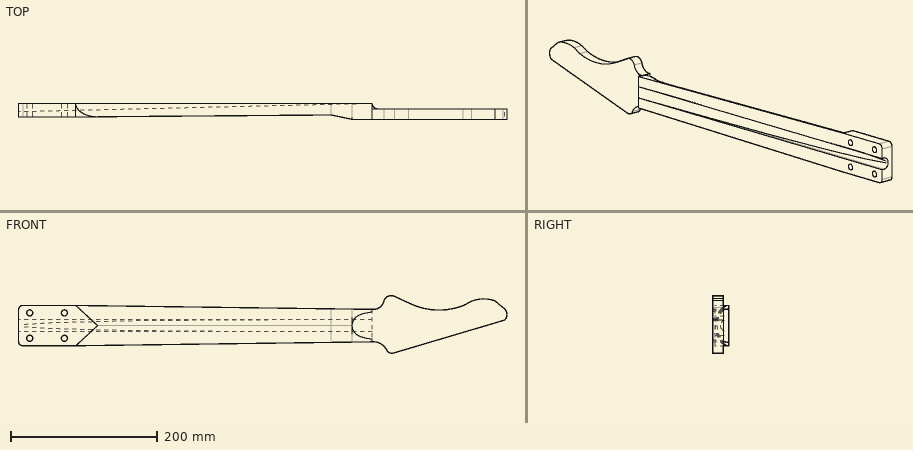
import cadquery as cq

total_length = 669.0
total_depth = 22.0

heel_width = 55.5
heel_depth = 19.0
heel_side_length = 78.0
heel_tip_x = 108.5
heel_corner_radius = 6.0
hole_diameter = 8.0
hole_columns = (15.5, 63.0)
hole_spacing = 35.0

nut_x = 484.5
nut_width = 45.0
shaft_end_x = 428.0
shaft_end_depth = 16.0
flat_tip_x = 457.0
throat_depth = 40.0

headstock_thickness = 15.0
step_radius = total_depth - headstock_thickness

channel_width = 16.0
channel_depth = 11.5


def neck_width(x):
    """Straight taper from the heel to the nut."""
    return heel_width + (nut_width - heel_width) * (x - heel_side_length) / (nut_x - heel_side_length)


def half_ellipse(x, width, depth):
    """Closed half ellipse across the neck, bulging towards -Y."""
    wire = (
        cq.Workplane("YZ", origin=(x, 0, 0))
        .moveTo(0, -width / 2)
        .lineTo(0, width / 2)
        .ellipseArc(depth, width / 2, 90, 180, startAtCurrent=True)
        .ellipseArc(depth, width / 2, 180, 270, startAtCurrent=True)
        .close()
    )
    return wire.val()


def half_round_loft(sections):
    """Ruled solid through half ellipses given as (x, width, depth)."""
    wires = [half_ellipse(*section) for section in sections]
    return cq.Workplane(obj=cq.Solid.makeLoft(wires, True))


def make_heel():
    """Flat bolt-on block with a pointed nose and four screw holes."""
    half = heel_width / 2
    block = (
        cq.Workplane("XZ")
        .polyline([(0, -half), (heel_side_length, -half), (heel_tip_x, 0), (heel_side_length, half), (0, half)])
        .close()
        .extrude(heel_depth)
        .edges("|Y and <X")
        .fillet(heel_corner_radius)
    )
    hole_points = [(x, side * hole_spacing / 2) for x in hole_columns for side in (-1, 1)]
    holes = cq.Workplane("XZ").pushPoints(hole_points).circle(hole_diameter / 2).extrude(heel_depth)
    return block.cut(holes)


def make_shaft():
    """Tapered half-round neck."""
    return half_round_loft([
        (heel_side_length, heel_width, heel_depth),
        (shaft_end_x, neck_width(shaft_end_x), shaft_end_depth),
    ])


def make_throat():
    """Neck deepening towards the headstock, trimmed flat at the headstock back."""
    swell = half_round_loft([
        (shaft_end_x, neck_width(shaft_end_x), shaft_end_depth),
        (flat_tip_x, neck_width(flat_tip_x), total_depth),
        (nut_x, nut_width, throat_depth),
    ])
    slab = cq.Workplane("XZ").rect(2 * total_length, 2 * heel_width).extrude(total_depth)
    return swell.intersect(slab)


def make_headstock():
    """Flat plate with two shoulders, a scooped upper edge and a slanted lower edge."""
    half = nut_width / 2
    return (
        cq.Workplane("XZ", origin=(0, -step_radius, 0))
        .moveTo(nut_x, half)
        .threePointArc((495.0, 25.5), (500.5, 34.0))
        .threePointArc((506.0, 40.0), (515.0, 40.0))
        .lineTo(534.0, 31.5)
        .threePointArc((573.5, 21.5), (609.0, 27.5))
        .lineTo(620.0, 33.5)
        .threePointArc((638.0, 37.0), (652.5, 34.0))
        .lineTo(664.0, 25.0)
        .threePointArc((total_length, 15.0), (666.0, 7.5))
        .lineTo(514.5, -37.5)
        .threePointArc((508.5, -37.5), (504.0, -33.0))
        .threePointArc((496.0, -25.0), (nut_x, -half))
        .close()
        .extrude(headstock_thickness)
    )


def make_nut_step():
    """Concave step from the fretboard face down to the headstock face."""
    return (
        cq.Workplane("XY", origin=(0, 0, -nut_width / 2))
        .moveTo(nut_x, 0)
        .radiusArc((nut_x + step_radius, -step_radius), -step_radius)
        .lineTo(nut_x, -step_radius)
        .close()
        .extrude(nut_width)
    )


def make_channel():
    """Round-bottomed groove in the fretboard face, sloping out at the nut."""
    radius = channel_width / 2
    groove = (
        cq.Workplane("YZ")
        .moveTo(0, -radius)
        .lineTo(radius - channel_depth, -radius)
        .threePointArc((-channel_depth, 0), (radius - channel_depth, radius))
        .lineTo(0, radius)
        .close()
        .extrude(nut_x)
    )
    wedge = (
        cq.Workplane("XY", origin=(0, 0, -radius))
        .polyline([(0, 0), (nut_x, 0), (0, -channel_depth)])
        .close()
        .extrude(channel_width)
    )
    return groove.intersect(wedge)


result = (
    make_heel()
    .union(make_shaft())
    .union(make_throat())
    .union(make_headstock())
    .union(make_nut_step())
    .cut(make_channel())
)